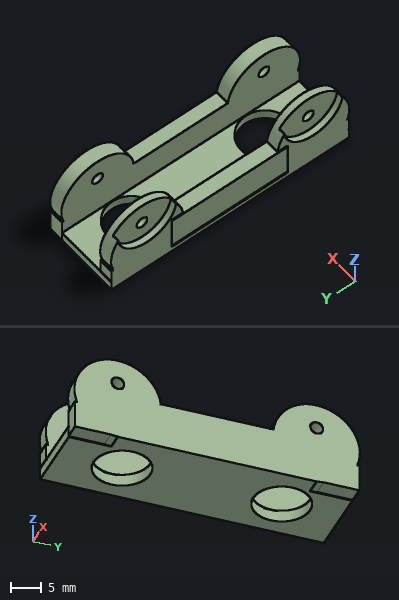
import cadquery as cq

length = 50.4
width = 16.15
height = 15.4

panel_proud = 0.15
left_wall_thickness = 2.85
right_wall_thickness = 2.95
wall_top = 8.55
left_ear_radius = 7.6
right_ear_radius = 7.65
ear_center_y = length / 2 - right_ear_radius
ear_center_z = height - right_ear_radius

foot_top = 5.2
foot_length = 7.55
foot_end_inset = 0.1
right_foot_bottom = 0.15

floor_thickness = 2.15
floor_end_inset = 0.15
opening_diameter = 10.0
opening_end_offsets = (11.55, 10.7)

panel_bottom = 1.55
panel_end_offsets = (13.15, 12.8)

pivot_diameter = 2.2
pivot_z = 10.8
recess_radius = 6.15
recess_center_z = 13.05
recess_depth = 1.35

left_outer_x = -width / 2 + panel_proud
left_inner_x = left_outer_x + left_wall_thickness
right_outer_x = width / 2
right_inner_x = right_outer_x - right_wall_thickness
floor_end_y = length / 2 - floor_end_inset
foot_end_y = length / 2 - foot_end_inset


def block(x_span, y_span, z_span):
    """Box between the given coordinate pairs."""
    (x0, x1), (y0, y1), (z0, z1) = x_span, y_span, z_span
    return cq.Workplane("XY").box(x1 - x0, y1 - y0, z1 - z0, centered=False).translate((x0, y0, z0))


def x_disc(x_span, y, z, radius):
    """Cylinder along X between two X positions."""
    x0, x1 = x_span
    return cq.Workplane("YZ", origin=(x0, y, z)).circle(radius).extrude(x1 - x0)


def side_wall(x_span, ear_radius, foot_bottom):
    """Low wall with a round ear on a square foot at each end."""
    middle_end_y = foot_end_y - foot_length
    wall = block(x_span, (-middle_end_y, middle_end_y), (0, wall_top))
    for side in (-1, 1):
        foot_y = sorted((side * middle_end_y, side * foot_end_y))
        wall = wall.union(block(x_span, foot_y, (foot_bottom, foot_top)))
        wall = wall.union(x_disc(x_span, side * ear_center_y, ear_center_z, ear_radius))
    return wall


result = block((left_outer_x, right_inner_x), (-floor_end_y, floor_end_y), (0, floor_thickness))
result = result.union(side_wall((left_outer_x, left_inner_x), left_ear_radius, floor_thickness))
result = result.union(side_wall((right_inner_x, right_outer_x), right_ear_radius, right_foot_bottom))
panel_start_y = -length / 2 + panel_end_offsets[0]
panel_end_y = length / 2 - panel_end_offsets[1]
panel_x = (-width / 2, left_inner_x)
result = result.union(block(panel_x, (panel_start_y, panel_end_y), (panel_bottom, wall_top)))

recess_x = (-width / 2, left_outer_x + recess_depth)
for side in (-1, 1):
    pivot_y = side * ear_center_y
    result = result.cut(x_disc(recess_x, pivot_y, recess_center_z, recess_radius))
    result = result.cut(x_disc((-width / 2, width / 2), pivot_y, pivot_z, pivot_diameter / 2))

opening_points = [
    (0, -length / 2 + opening_end_offsets[0]),
    (0, length / 2 - opening_end_offsets[1]),
]
openings = cq.Workplane("XY").pushPoints(opening_points).circle(opening_diameter / 2).extrude(floor_thickness)
result = result.cut(openings)